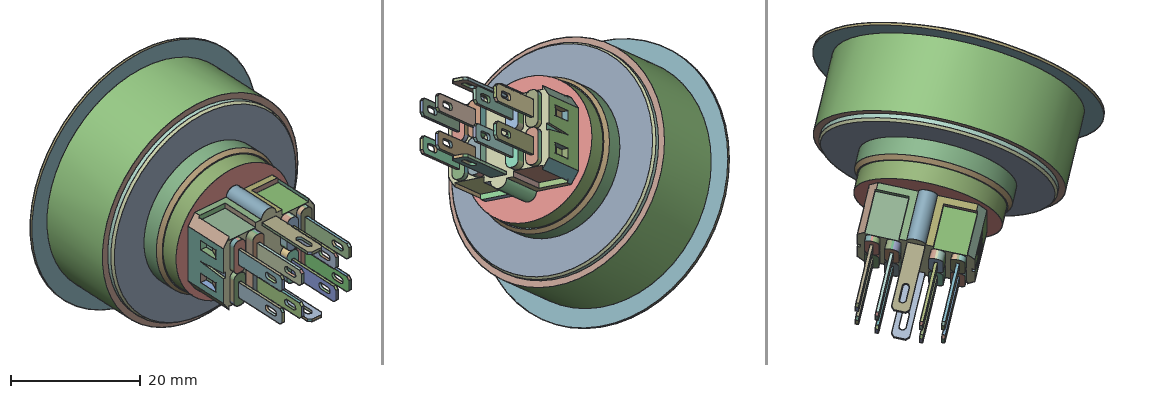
import cadquery as cq


flange_radius = 23.0
face_radius = 18.85
bevel_length = 1.5
flange_length = 2.0
body_radius = 39.9 / 2
body_end = 15.0
collar_radius = 18.85
collar_end = 16.2
collar_chamfer_length = 0.45
collar_chamfer_drop = 0.3
neck_radius = 25.0 / 2
neck_end = 19.83
neck_chamfer_length = 0.75
neck_chamfer_drop = 0.55
tail_radius = 23.5 / 2
housing_end = 22.85

block_end = 31.15
block_length = block_end - housing_end
block_half_width = 9.3
block_half_height = 7.05
block_top_half_width = 7.9
block_side_half_height = 5.05
rib_radius = 1.5
rib_top = 8.45

pocket_start = 24.0
pocket_inner = 2.7
pocket_outer = 8.1
pocket_depth = 0.9

window_start = 25.8
window_end = 29.35
window_height = 1.7
ramp_start = 27.32
ramp_end = 28.9
window_deep = 1.15
window_shallow = 0.45
wedge_start = 25.75
wedge_half_width = 0.5
wedge_depth = 0.45

terminal_width = 2.85
terminal_thickness = 0.5
terminal_chamfer = 0.5
terminal_embed = 0.45
terminal_root = block_end - terminal_embed
short_end = 42.35
long_end = 43.1
slot_width = 1.1
slot_length = 2.58
center_slot_length = 3.2
slot_to_tip = 1.4
terminal_z = 3.05
center_terminal_z = 6.2
outer_y = 6.8
inner_y = 3.5
boss_width = 2.3
boss_height = 6.0
boss_corner = 0.95
outer_boss_length = 0.95
inner_boss_length = 1.55


def make_housing():
    """Solid of revolution from the button face to the plain tail."""
    profile = [
        (0, 0),
        (0, face_radius),
        (bevel_length, flange_radius),
        (flange_length, flange_radius),
        (flange_length, body_radius),
        (body_end, body_radius),
        (body_end, collar_radius),
        (collar_end - collar_chamfer_length, collar_radius),
        (collar_end, collar_radius - collar_chamfer_drop),
        (collar_end, neck_radius),
        (neck_end - neck_chamfer_length, neck_radius),
        (neck_end, neck_radius - neck_chamfer_drop),
        (neck_end, tail_radius),
        (housing_end, tail_radius),
        (housing_end, 0),
    ]
    return cq.Workplane("XY").polyline(profile).close().revolve(360, (0, 0, 0), (1, 0, 0))


def make_block():
    """Octagonal block with a round rib along its top and bottom."""
    outline = [
        (block_half_width, block_side_half_height),
        (block_top_half_width, block_half_height),
        (-block_top_half_width, block_half_height),
        (-block_half_width, block_side_half_height),
        (-block_half_width, -block_side_half_height),
        (-block_top_half_width, -block_half_height),
        (block_top_half_width, -block_half_height),
        (block_half_width, -block_side_half_height),
    ]
    base = cq.Workplane("YZ", origin=(housing_end, 0, 0))
    rib_z = rib_top - rib_radius
    ribs = base.pushPoints([(0, rib_z), (0, -rib_z)]).circle(rib_radius).extrude(block_length)
    return base.polyline(outline).close().extrude(block_length).union(ribs)


def make_pockets():
    """Four pockets, open at the terminal end of the block."""
    width = pocket_outer - pocket_inner
    y = (pocket_outer + pocket_inner) / 2
    z = block_half_height
    places = [(y, z), (-y, z), (y, -z), (-y, -z)]
    start = cq.Workplane("YZ", origin=(pocket_start, 0, 0))
    return start.pushPoints(places).rect(width, 2 * pocket_depth).extrude(block_end - pocket_start)


def make_side_cuts():
    """Ramped latch windows and the wedge slot, for both sides of the block."""
    side = -block_half_width
    window = [
        (window_start, side),
        (window_start, side + window_deep),
        (ramp_start, side + window_deep),
        (ramp_end, side + window_shallow),
        (window_end, side + window_shallow),
        (window_end, side),
    ]
    wedge = [(wedge_start, 0), (block_end, wedge_half_width), (block_end, -wedge_half_width)]
    cuts = cq.Workplane("XZ", origin=(0, side, 0)).polyline(wedge).close().extrude(-wedge_depth)
    for z in (terminal_z, -terminal_z):
        level = cq.Workplane("XY", origin=(0, 0, z - window_height / 2))
        cuts = cuts.union(level.polyline(window).close().extrude(window_height))
    return cuts.union(cuts.mirror("XZ"))


def make_terminal(tip, hole_length):
    """Flat solder lug lying in the XY plane, with its tip corners cut and a slotted hole."""
    length = tip - terminal_root
    lug = (
        cq.Workplane("XY")
        .box(length, terminal_width, terminal_thickness)
        .translate((terminal_root + length / 2, 0, 0))
        .edges("|Z and >X")
        .chamfer(terminal_chamfer)
    )
    hole = (
        cq.Workplane("XY", origin=(tip - slot_to_tip - hole_length / 2, 0, 0))
        .slot2D(hole_length, slot_width)
        .extrude(terminal_thickness, both=True)
    )
    return lug.cut(hole)


def make_boss(length):
    """Rounded block around the root of one side terminal."""
    return (
        cq.Workplane("YZ", origin=(block_end, 0, 0))
        .rect(boss_width, boss_height)
        .extrude(length)
        .edges("|X")
        .fillet(boss_corner)
    )


def make_contacts():
    """Two flat center terminals and eight upright side terminals with bosses."""
    center = make_terminal(short_end, center_slot_length)
    contacts = [center.translate((0, 0, z)) for z in (center_terminal_z, -center_terminal_z)]
    rows = [(outer_y, short_end, outer_boss_length), (inner_y, long_end, inner_boss_length)]
    for row_y, tip, boss_length in rows:
        upright = make_terminal(tip, slot_length).rotate((0, 0, 0), (1, 0, 0), 90)
        contact = upright.union(make_boss(boss_length))
        for y in (row_y, -row_y):
            for z in (terminal_z, -terminal_z):
                contacts.append(contact.translate((0, y, z)))
    return contacts


result = make_housing().union(make_block()).cut(make_pockets()).cut(make_side_cuts())
for contact in make_contacts():
    result = result.union(contact)